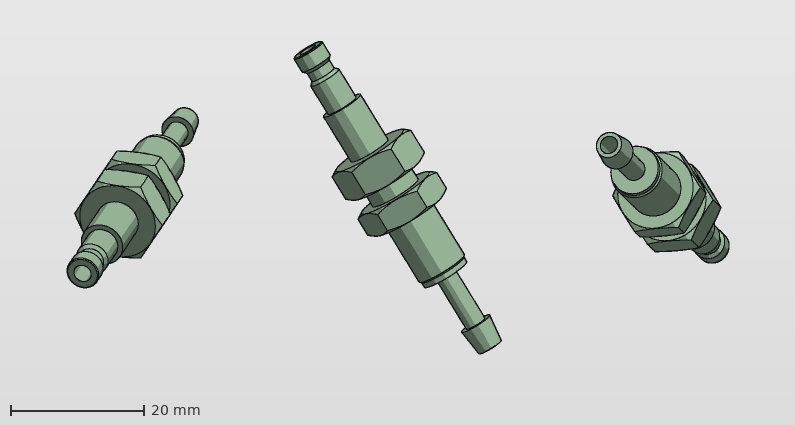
import cadquery as cq
import math

TOTAL_LENGTH = 53.0

PLUG_DIAMETER = 5.0
PLUG_LENGTH = 9.95
PLUG_EDGE_CHAMFER = 0.15
GROOVE_DIAMETER = 3.9
GROOVE_START = 2.45
GROOVE_END = 5.0
GROOVE_BEVEL = (PLUG_DIAMETER - GROOVE_DIAMETER) / 2

SHOULDER_DIAMETER = 6.5
FLANGE_START = 17.95
FLANGE_THICKNESS = 5.1

BARREL_DIAMETER = 8.0
COLLAR_DIAMETER = 7.45
BARREL_END = 38.95
BARREL_CHAMFER = (BARREL_DIAMETER - COLLAR_DIAMETER) / 2
COLLAR_END = 40.05

STEM_DIAMETER = 3.3
BARB_LENGTH = 4.2
BARB_BASE_DIAMETER = 5.0
BARB_TIP_DIAMETER = 4.0
BORE_DIAMETER = 2.7

HEX_ACROSS_FLATS = 12.0
HEX_ACROSS_CORNERS = HEX_ACROSS_FLATS / math.cos(math.radians(30))
HEX_FACE_DIAMETER = 11.85
HEX_CHAMFER_ANGLE = 30
NUT_START = 25.5
NUT_THICKNESS = 4.0


def revolve_profile(points):
    """Revolve a closed outline of (radius, Y) points about the Y axis."""
    return cq.Workplane("XY").polyline(points).close().revolve(360, (0, 0), (0, 1))


def bar_along_y(diameter, start, length):
    """Solid cylinder on the Y axis, running from start towards +Y."""
    return cq.Workplane("XZ", origin=(0, start, 0)).circle(diameter / 2).extrude(-length)


def chamfered_hexagon(start, thickness):
    """Hexagonal block with corners on +X and -X, bevelled by a cone at both faces."""
    block = (
        cq.Workplane("XZ", origin=(0, start, 0))
        .polygon(6, HEX_ACROSS_CORNERS)
        .extrude(-thickness)
    )
    face_radius = HEX_FACE_DIAMETER / 2
    corner_radius = HEX_ACROSS_CORNERS / 2
    bevel = (corner_radius - face_radius) * math.tan(math.radians(HEX_CHAMFER_ANGLE))
    end = start + thickness
    envelope = revolve_profile([
        (0, start),
        (face_radius, start),
        (corner_radius, start + bevel),
        (corner_radius, end - bevel),
        (face_radius, end),
        (0, end),
    ])
    return block.intersect(envelope)


def make_fitting():
    """Plug, flange, barrel and hose barb in one piece, bored through."""
    plug = PLUG_DIAMETER / 2
    groove = GROOVE_DIAMETER / 2
    shoulder = SHOULDER_DIAMETER / 2
    barrel = BARREL_DIAMETER / 2
    collar = COLLAR_DIAMETER / 2
    stem = STEM_DIAMETER / 2
    barb_start = TOTAL_LENGTH - BARB_LENGTH
    turned_body = revolve_profile([
        (0, 0),
        (plug - PLUG_EDGE_CHAMFER, 0),
        (plug, PLUG_EDGE_CHAMFER),
        (plug, GROOVE_START),
        (groove, GROOVE_START + GROOVE_BEVEL),
        (groove, GROOVE_END - GROOVE_BEVEL),
        (plug, GROOVE_END),
        (plug, PLUG_LENGTH),
        (shoulder, PLUG_LENGTH),
        (shoulder, FLANGE_START),
        (barrel, FLANGE_START),
        (barrel, BARREL_END),
        (collar, BARREL_END + BARREL_CHAMFER),
        (collar, COLLAR_END),
        (stem, COLLAR_END),
        (stem, barb_start),
        (BARB_BASE_DIAMETER / 2, barb_start),
        (BARB_TIP_DIAMETER / 2, TOTAL_LENGTH),
        (0, TOTAL_LENGTH),
    ])
    flange = chamfered_hexagon(FLANGE_START, FLANGE_THICKNESS)
    bore = bar_along_y(BORE_DIAMETER, 0, TOTAL_LENGTH)
    return turned_body.union(flange).cut(bore)


def make_nut():
    """Hexagonal nut whose hole matches the barrel."""
    hole = bar_along_y(BARREL_DIAMETER, NUT_START, NUT_THICKNESS)
    return chamfered_hexagon(NUT_START, NUT_THICKNESS).cut(hole)


fitting = make_fitting()
nut = make_nut()

result = cq.Compound.makeCompound([fitting.val(), nut.val()])